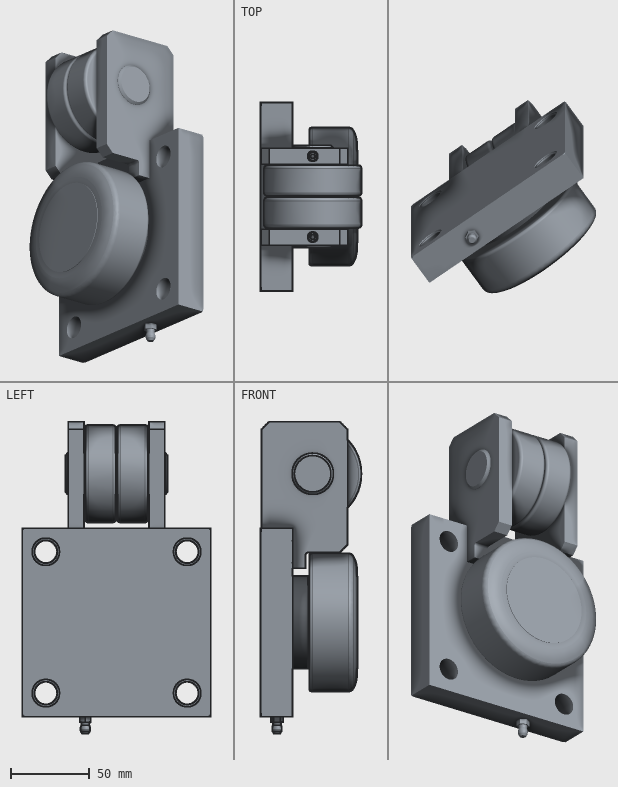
import cadquery as cq
import math

total_depth = 64.3
total_height = 198.5

plate_size = 120.0
plate_thickness = 20.5
cover_thickness = 0.5
cover_corner_radius = 2.0
hole_pitch = 90.0
hole_diameter = 14.3
cover_hole_diameter = 17.5
plate_mid_z = plate_size / 2

top_z = 187.8
cheek_back_x = cover_thickness
cheek_front_x = 55.4
cheek_inner_y = 20.6
cheek_thickness = 10.1
cheek_chamfer = 5.0
cheek_bottom_z = 104.5
cheek_leg_front_x = 28.8
cheek_leg_bottom_z = 94.5
notch_radius = 1.5

pin_z = 154.6
pin_diameter = 26.4
pin_half_length = 32.5
pin_end_chamfer = 1.5
twin_roller_diameter = 62.1
twin_roller_width = 19.5
twin_roller_gap = 1.0
roller_rounding = 2.0
pin_x = total_depth - twin_roller_diameter / 2

screw_mouth_diameter = 6.5
screw_diameter = 5.4
screw_recess = 0.5
socket_across_flats = 2.8
socket_depth = 2.5

big_roller_radius = 44.0
big_roller_back_x = 31.0
big_roller_front_x = 61.5
crown_radius = 17.9
crown_drop = 11.0
crown_rounding = 4.0
hub_radius = 29.5
hub_front_x = 30.4
axle_radius = 23.8
axle_end_radius = 29.2
axle_end_x = 62.0

nipple_y = 19.8
nipple_x = 10.5
nipple_length = total_height - top_z
nipple_hex_across_flats = 7.1
nipple_hex_height = 3.4
nipple_shoulder_radius = 2.8
nipple_neck_radius = 2.5
nipple_neck_z = -5.4
nipple_bulge_radius = 5.0
nipple_head_radius = 3.2
nipple_head_z = -8.0
nipple_rim_radius = 3.0
nipple_rim_z = -9.1
nipple_tip_radius = 2.0


def hex_diameter(across_flats):
    return across_flats / math.cos(math.pi / 6)


def make_square_sheet(back_x, thickness, hole_size, corner_radius=0):
    """Square sheet across X with the four mounting holes."""
    sheet = cq.Workplane("YZ", origin=(back_x, 0, plate_mid_z))
    sheet = sheet.rect(plate_size, plate_size).extrude(thickness)
    if corner_radius > 0:
        sheet = sheet.edges("|X").fillet(corner_radius)
    holes = sheet.faces(">X").workplane(origin=(0, 0, plate_mid_z))
    return holes.rect(hole_pitch, hole_pitch, forConstruction=True).vertices().hole(hole_size)


def make_plate():
    cover = make_square_sheet(0, cover_thickness, cover_hole_diameter, cover_corner_radius)
    body = make_square_sheet(cover_thickness, plate_thickness - cover_thickness, hole_diameter)
    return body.union(cover)


def make_cheek(side):
    """Cheek on the side of Y given by side (+1 or -1), with its set screw."""
    outline = [
        (cheek_back_x, cheek_leg_bottom_z),
        (cheek_back_x, top_z - cheek_chamfer),
        (cheek_back_x + cheek_chamfer, top_z),
        (cheek_front_x - cheek_chamfer, top_z),
        (cheek_front_x, top_z - cheek_chamfer),
        (cheek_front_x, cheek_bottom_z + cheek_chamfer),
        (cheek_front_x - cheek_chamfer, cheek_bottom_z),
        (cheek_leg_front_x + notch_radius, cheek_bottom_z),
    ]
    mid_y = side * (cheek_inner_y + cheek_thickness / 2)
    cheek = (
        cq.Workplane("XZ", origin=(0, mid_y, 0))
        .polyline(outline)
        .radiusArc((cheek_leg_front_x, cheek_bottom_z - notch_radius), -notch_radius)
        .lineTo(cheek_leg_front_x, cheek_leg_bottom_z)
        .close()
        .extrude(cheek_thickness / 2, both=True)
    )
    recess = cq.Solid.makeCone(
        screw_diameter / 2,
        screw_mouth_diameter / 2,
        screw_recess,
        pnt=cq.Vector(pin_x, mid_y, top_z - screw_recess),
    )
    socket = (
        cq.Workplane("XY", origin=(pin_x, mid_y, top_z - screw_recess))
        .polygon(6, hex_diameter(socket_across_flats))
        .extrude(-socket_depth)
    )
    return cheek.cut(cq.Workplane(recess)).cut(socket)


def make_pin():
    return (
        cq.Workplane("XZ", origin=(pin_x, 0, pin_z))
        .circle(pin_diameter / 2)
        .extrude(pin_half_length, both=True)
        .faces("<Y or >Y")
        .chamfer(pin_end_chamfer)
    )


def make_twin_roller(side):
    inner_y = side * twin_roller_gap / 2
    return (
        cq.Workplane("XZ", origin=(pin_x, inner_y, pin_z))
        .circle(twin_roller_diameter / 2)
        .extrude(-side * twin_roller_width)
        .edges()
        .fillet(roller_rounding)
    )


def make_axle_disc(back_x, front_x, radius):
    return cq.Workplane("YZ", origin=(back_x, 0, 0)).circle(radius).extrude(front_x - back_x)


def make_big_roller():
    """Hub, axle and crowned roller on a common axis along X."""
    crown_back_off = crown_radius - math.sqrt(crown_radius**2 - crown_drop**2)
    roller = (
        cq.Workplane("XY")
        .moveTo(big_roller_back_x, 0)
        .lineTo(big_roller_back_x, big_roller_radius)
        .lineTo(big_roller_front_x - crown_back_off, big_roller_radius)
        .radiusArc((big_roller_front_x, big_roller_radius - crown_drop), crown_radius)
        .lineTo(big_roller_front_x, 0)
        .close()
        .revolve(360, (0, 0, 0), (1, 0, 0))
    )
    roller = roller.faces("<X").edges().fillet(roller_rounding)
    crown_edge = cq.selectors.NearestToPointSelector((big_roller_front_x - crown_back_off, 0, 0))
    roller = roller.edges("%CIRCLE").edges(crown_edge).fillet(crown_rounding)
    hub = make_axle_disc(plate_thickness, hub_front_x, hub_radius)
    axle = make_axle_disc(hub_front_x, big_roller_back_x, axle_radius)
    axle_end = make_axle_disc(big_roller_back_x, axle_end_x, axle_end_radius)
    roller = roller.union(hub).union(axle).union(axle_end)
    return roller.translate((0, 0, plate_mid_z))


def make_nipple():
    hexagon = cq.Workplane("XY").polygon(6, hex_diameter(nipple_hex_across_flats))
    hexagon = hexagon.extrude(-nipple_hex_height)
    stem = (
        cq.Workplane("XZ")
        .lineTo(nipple_shoulder_radius, 0)
        .lineTo(nipple_shoulder_radius, -nipple_hex_height)
        .lineTo(nipple_neck_radius, nipple_neck_z)
        .radiusArc((nipple_head_radius, nipple_head_z), nipple_bulge_radius)
        .lineTo(nipple_rim_radius, nipple_rim_z)
        .lineTo(nipple_tip_radius, -nipple_length)
        .lineTo(0, -nipple_length)
        .close()
        .revolve(360, (0, 0, 0), (0, 1, 0))
    )
    return hexagon.union(stem).translate((nipple_x, nipple_y, 0))


result = make_plate().union(make_pin()).union(make_big_roller()).union(make_nipple())
for side in (-1, 1):
    result = result.union(make_cheek(side)).union(make_twin_roller(side))